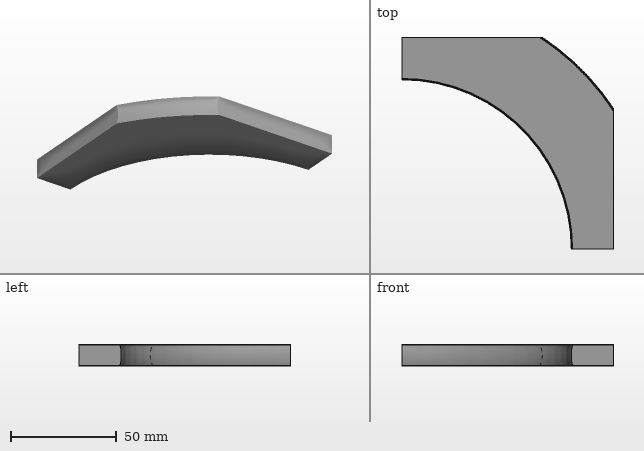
import cadquery as cq

side = 100.0
thickness = 10.0
tube_radius = 20.0

ring = cq.Workplane("XY").add(cq.Solid.makeTorus(side, tube_radius))
ring = ring.translate((0, 0, thickness / 2))

plate = cq.Workplane("XY").box(side, side, thickness, centered=False)

result = plate.intersect(ring)